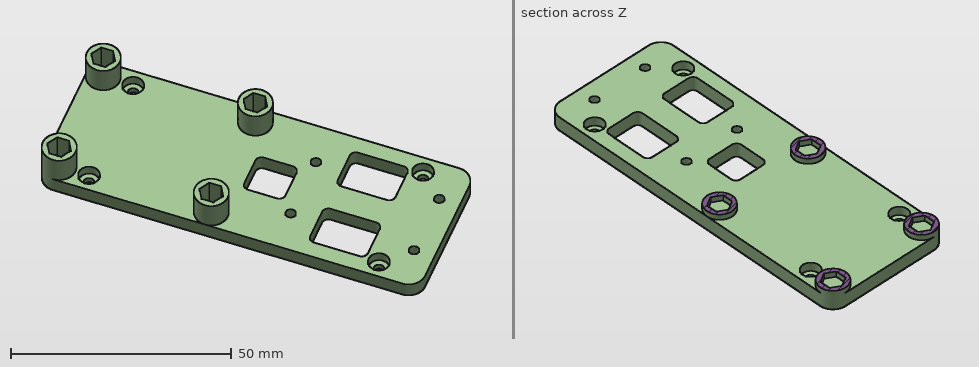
import cadquery as cq
import math

plate_length = 93.0
plate_width = 36.0
plate_thickness = 4.0
corner_radius = 4.0
mid_y = plate_width / 2

standoff_diameter = 2 * corner_radius
standoff_height = 7.0
standoff_pitch_x = 37.0
standoff_x_positions = (corner_radius, corner_radius + standoff_pitch_x)
edge_row_offset = mid_y - corner_radius
socket_across_flats = 5.0
socket_across_corners = socket_across_flats / math.cos(math.pi / 6)
socket_depth = standoff_height

mount_end_inset = 11.25
mount_x_positions = (mount_end_inset, plate_length - mount_end_inset)
mount_hole_diameter = 2.4
counterbore_diameter = 5.0
counterbore_depth = 2.5

small_hole_diameter = 2.4
small_hole_first_x = 58.0
small_hole_pitch_x = 30.0
small_hole_x_positions = (small_hole_first_x, small_hole_first_x + small_hole_pitch_x)
small_hole_row_offset = 8.0

window_corner_radius = 1.5
center_window_size = 10.0
center_window_x = 50.0
side_window_length = 14.0
side_window_width = 10.5
side_window_x = 71.5
side_window_row_offset = 8.75


def mirrored_grid(x_positions, row_offset):
    """Points at every X, in two rows placed symmetrically about the plate's long axis."""
    return [(x, mid_y + side * row_offset) for x in x_positions for side in (-1, 1)]


def make_plate():
    return (
        cq.Workplane("XY")
        .rect(plate_length, plate_width, centered=False)
        .extrude(plate_thickness)
        .edges("|Z")
        .fillet(corner_radius)
    )


def add_standoffs(body):
    points = mirrored_grid(standoff_x_positions, edge_row_offset)
    posts = (
        cq.Workplane("XY")
        .pushPoints(points)
        .circle(standoff_diameter / 2)
        .extrude(plate_thickness + standoff_height)
    )
    sockets = (
        cq.Workplane("XY", origin=(0, 0, plate_thickness + standoff_height))
        .pushPoints(points)
        .polygon(6, socket_across_corners)
        .extrude(-socket_depth)
    )
    return body.union(posts).cut(sockets)


def cut_mounting_holes(body):
    points = mirrored_grid(mount_x_positions, edge_row_offset)
    holes = cq.Workplane("XY").pushPoints(points).circle(mount_hole_diameter / 2).extrude(plate_thickness)
    counterbores = (
        cq.Workplane("XY", origin=(0, 0, plate_thickness))
        .pushPoints(points)
        .circle(counterbore_diameter / 2)
        .extrude(-counterbore_depth)
    )
    return body.cut(holes).cut(counterbores)


def cut_small_holes(body):
    points = mirrored_grid(small_hole_x_positions, small_hole_row_offset)
    holes = cq.Workplane("XY").pushPoints(points).circle(small_hole_diameter / 2).extrude(plate_thickness)
    return body.cut(holes)


def cut_windows(body, points, length, width):
    windows = (
        cq.Workplane("XY")
        .pushPoints(points)
        .rect(length, width)
        .extrude(plate_thickness)
        .edges("|Z")
        .fillet(window_corner_radius)
    )
    return body.cut(windows)


result = add_standoffs(make_plate())
result = cut_mounting_holes(result)
result = cut_small_holes(result)
result = cut_windows(result, [(center_window_x, mid_y)], center_window_size, center_window_size)
result = cut_windows(
    result,
    mirrored_grid([side_window_x], side_window_row_offset),
    side_window_length,
    side_window_width,
)